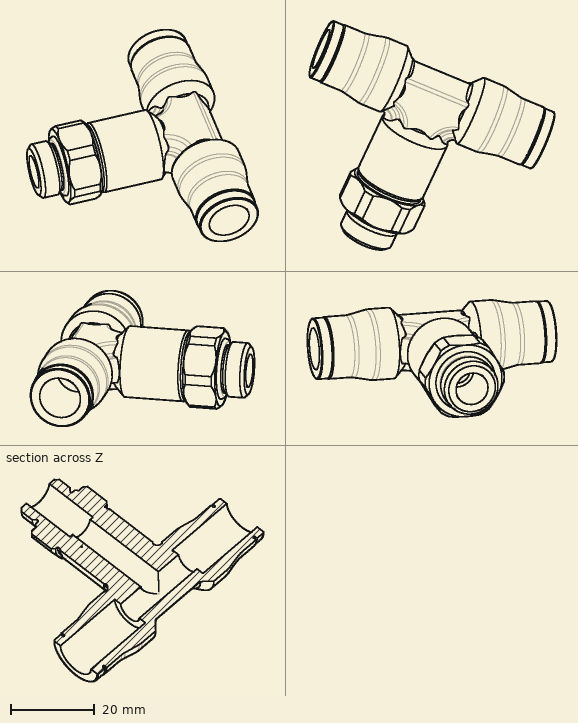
import cadquery as cq
import math


barrel_radius = 17.1 / 2
barrel_start = 10.1
nose_radius = 6.3
nose_start = barrel_start - (barrel_radius - nose_radius)
nose_tip = (7.1, 5.45)
nose_bulge = (7.35, 6.1)

run_end = 29.0
sleeve_radius = 14.95 / 2
sleeve_taper_start = 20.4
barrel_taper_end = 15.4
taper_blend = 0.5
ring_inner = 26.45
ring_radius = 14.7 / 2
ring_chamfer = 0.25
ring_gap = 0.4
ring_gap_radius = 6.5
tube_bore_radius = 5.0
tube_stop = barrel_start
flow_bore_radius = 3.0

overall_depth = 48.5
branch_end = overall_depth - barrel_radius
branch_barrel_end = 24.9
branch_barrel_chamfer = 0.6
branch_barrel_inset = 0.3
hex_start = 25.6
hex_end = 33.45
hex_across_flats = 18.0
hex_turned_radius = 9.75
hex_chamfer = 0.75
collar_end = 34.2
collar_radius = 7.3
relief_end = 34.7
relief_radius = 5.8
thread_radius = 6.6
thread_chamfer = 0.85
socket_radius = 3.95
socket_end = hex_start

block_half_height = 6.1
wall_angle = math.radians(63)
back_top_edge = 3.15
corner_centre = 9.55
corner_top_radius = 6.1
corner_ledge_radius = 2.9
corner_nose_radius = 1.3
ledge_half_height = 3.2
edge_round = 1.0
ledge_edge_round = 0.35
back_nose_round = 0.3
block_half_length = barrel_start
cutter_overlap = 1.15
match_tolerance = 0.005


def revolve_about_x(profile):
    """Turn a closed XY profile about the X axis."""
    return profile.revolve(360, (0, 0, 0), (1, 0, 0))


def turn_to_branch(solid):
    """Swing a solid lying along +X round to the branch direction, -Y."""
    return solid.rotate((0, 0, 0), (0, 0, 1), -90)


def start_arm():
    """Open profile from the tee centre along the nose and cone to the barrel."""
    return (
        cq.Workplane("XY")
        .lineTo(0, nose_tip[1])
        .lineTo(*nose_tip)
        .threePointArc(nose_bulge, (nose_start, nose_radius))
        .lineTo(barrel_start, barrel_radius)
    )


def cylinder_along_x(radius, start, end):
    """Solid cylinder centred on the X axis."""
    return cq.Workplane("YZ", origin=(start, 0, 0)).circle(radius).extrude(end - start)


def run_arm():
    """Right-hand arm: barrel tapering to a sleeve, then a gap and the release ring."""
    slope = math.atan2(barrel_radius - sleeve_radius, sleeve_taper_start - barrel_taper_end)
    blend_x = taper_blend * math.cos(slope)
    blend_r = taper_blend * math.sin(slope)
    profile = (
        start_arm()
        .lineTo(barrel_taper_end - taper_blend, barrel_radius)
        .tangentArcPoint((barrel_taper_end + blend_x, barrel_radius - blend_r), relative=False)
        .lineTo(sleeve_taper_start - blend_x, sleeve_radius + blend_r)
        .tangentArcPoint((sleeve_taper_start + taper_blend, sleeve_radius), relative=False)
        .lineTo(ring_inner - ring_gap, sleeve_radius)
        .lineTo(ring_inner - ring_gap, ring_gap_radius)
        .lineTo(ring_inner, ring_gap_radius)
        .lineTo(ring_inner, ring_radius)
        .lineTo(run_end - ring_chamfer, ring_radius)
        .lineTo(run_end, ring_radius - ring_chamfer)
        .lineTo(run_end, 0)
        .close()
    )
    return revolve_about_x(profile)


def branch_turned_body():
    """Barrel, collar and threaded spigot, still lying along X."""
    neck_radius = barrel_radius - branch_barrel_inset
    collar_round = collar_end - hex_end
    relief_cone_end = relief_end + thread_radius - relief_radius
    profile = (
        start_arm()
        .lineTo(branch_barrel_end - branch_barrel_chamfer, barrel_radius)
        .lineTo(branch_barrel_end, neck_radius)
        .lineTo(hex_start, neck_radius)
        .lineTo(hex_start, collar_radius)
        .lineTo(hex_end, collar_radius)
        .tangentArcPoint((collar_end, collar_radius - collar_round), relative=False)
        .lineTo(collar_end, relief_radius)
        .lineTo(relief_end, relief_radius)
        .lineTo(relief_cone_end, thread_radius)
        .lineTo(branch_end - thread_chamfer, thread_radius)
        .lineTo(branch_end, thread_radius - thread_chamfer)
        .lineTo(branch_end, 0)
        .close()
    )
    return revolve_about_x(profile)


def branch_hex():
    """Hexagon with its corners turned down and both ends chamfered, two flats facing +-Z."""
    length = hex_end - hex_start
    hex_circle = hex_across_flats / math.cos(math.pi / 6)
    hexagon = cq.Workplane("YZ", origin=(hex_start, 0, 0)).polygon(6, hex_circle).extrude(length)
    turned = cylinder_along_x(hex_turned_radius, hex_start, hex_end).faces("<X or >X").chamfer(hex_chamfer)
    return hexagon.intersect(turned)


def corner_cutter(side):
    """Ring-shaped cut that hollows the corner between the branch and one run arm."""
    draft = 1 / math.tan(wall_angle)
    ledge_inner = corner_top_radius - (block_half_height - ledge_half_height) * draft
    outer = corner_top_radius + cutter_overlap
    above = block_half_height + cutter_overlap
    profile = (
        cq.Workplane("XZ")
        .moveTo(0, -above)
        .lineTo(outer, -above)
        .lineTo(outer, -block_half_height)
        .lineTo(corner_top_radius, -block_half_height)
        .lineTo(ledge_inner, -ledge_half_height)
        .lineTo(corner_ledge_radius, -ledge_half_height)
        .threePointArc((corner_nose_radius, 0), (corner_ledge_radius, ledge_half_height))
        .lineTo(ledge_inner, ledge_half_height)
        .lineTo(corner_top_radius, block_half_height)
        .lineTo(outer, block_half_height)
        .lineTo(outer, above)
        .lineTo(0, above)
        .close()
    )
    cutter = profile.revolve(360, (0, 0, 0), (0, 1, 0))

    def ring_edge(radius, height):
        """Circular edges of the cutter with the given radius, at +height and -height."""
        return cutter.edges("%CIRCLE").filter(
            lambda edge: math.isclose(edge.radius(), radius, abs_tol=match_tolerance)
            and math.isclose(abs(edge.Center().z), height, abs_tol=match_tolerance)
        )

    cutter = ring_edge(corner_top_radius, block_half_height).fillet(edge_round)
    cutter = ring_edge(ledge_inner, ledge_half_height).fillet(edge_round)
    cutter = ring_edge(corner_ledge_radius, ledge_half_height).fillet(ledge_edge_round)
    return cutter.translate((side * corner_centre, -corner_centre, 0))


def centre_block():
    """Flat-topped block with a drafted back and a stepped hollow in each front corner."""
    back_nose = back_top_edge + block_half_height / math.tan(wall_angle)
    block = (
        cq.Workplane("YZ", origin=(-block_half_length, 0, 0))
        .moveTo(-block_half_length, -block_half_height)
        .lineTo(back_top_edge, -block_half_height)
        .lineTo(back_nose, 0)
        .lineTo(back_top_edge, block_half_height)
        .lineTo(-block_half_length, block_half_height)
        .close()
        .extrude(2 * block_half_length)
    )
    block = block.edges("|X and >Y").fillet(back_nose_round)
    block = block.edges("|X and (>Z or <Z)").edges(">Y").fillet(edge_round)
    for side in (-1, 1):
        block = block.cut(corner_cutter(side))
    return block


result = turn_to_branch(branch_turned_body().union(branch_hex()))
right_arm = run_arm()
result = result.union(right_arm).union(right_arm.mirror("YZ")).union(centre_block())

result = result.cut(cylinder_along_x(flow_bore_radius, -run_end, run_end))
tube_socket = cylinder_along_x(tube_bore_radius, tube_stop, run_end)
result = result.cut(tube_socket).cut(tube_socket.mirror("YZ"))
branch_bore = cylinder_along_x(flow_bore_radius, 0, branch_end)
branch_bore = branch_bore.union(cylinder_along_x(socket_radius, socket_end, branch_end))
result = result.cut(turn_to_branch(branch_bore))